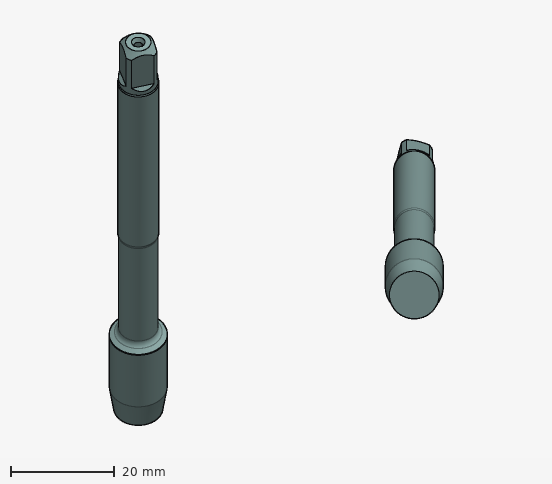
import cadquery as cq
import math


overall_length = 100.0
head_radius = 11.23 / 2
head_length = 20.0
lead_length = 5.9
lead_angle = 8.0
lead_tip_radius = head_radius - lead_length * math.tan(math.radians(lead_angle))

neck_radius = 7.7 / 2
collar_top = head_length + 0.25
flare_radius = 1.5
flare_angle = 60.0
flare_turn = math.radians(flare_angle)
shoulder_radius = neck_radius + flare_radius * (1 - math.cos(flare_turn))
shoulder_top = collar_top + (head_radius - shoulder_radius) / math.tan(flare_turn)
flare_top = shoulder_top + flare_radius * math.sin(flare_turn)

shank_radius = 8.0 / 2
shank_bottom = 48.0
shank_bottom_taper = 0.6
shank_top = 89.0
shank_top_taper = 0.3

drive_radius = 7.68 / 2
square_width = 6.2
square_length = 9.0
top_face_radius = 2.45

centre_hole_radius = 1.6 / 2
centre_hole_depth = 3.0
drill_point_angle = 120.0
countersink_radius = 1.3
countersink_angle = 60.0


def make_head():
    """Plain cylinder with a tapered lead at its lower end."""
    profile = [
        (0, 0),
        (lead_tip_radius, 0),
        (head_radius, lead_length),
        (head_radius, head_length),
        (0, head_length),
    ]
    return cq.Workplane("XZ").polyline(profile).close().revolve(360, (0, 0), (0, 1))


def flare_point(angle):
    """Point on the concave flare arc, which leaves the neck tangentially at angle zero."""
    turn = math.radians(angle)
    return (
        neck_radius + flare_radius * (1 - math.cos(turn)),
        flare_top - flare_radius * math.sin(turn),
    )


def make_round_shank():
    """Turned shape of the shank, from the collar on the head to the chamfered drive end."""
    top_chamfer = drive_radius - top_face_radius
    return (
        cq.Workplane("XZ")
        .moveTo(0, head_length)
        .lineTo(head_radius, head_length)
        .lineTo(head_radius, collar_top)
        .lineTo(shoulder_radius, shoulder_top)
        .threePointArc(flare_point(flare_angle / 2), flare_point(0))
        .lineTo(neck_radius, shank_bottom - shank_bottom_taper)
        .lineTo(shank_radius, shank_bottom)
        .lineTo(shank_radius, shank_top)
        .lineTo(drive_radius, shank_top + shank_top_taper)
        .lineTo(drive_radius, overall_length - top_chamfer)
        .lineTo(top_face_radius, overall_length)
        .lineTo(0, overall_length)
        .close()
        .revolve(360, (0, 0), (0, 1))
    )


def make_flat_cutter():
    """Tool for one flat of the square on the +X side, with a 45 degree run-out at its lower end."""
    flat_x = square_width / 2
    flat_bottom = overall_length - square_length
    reach = shank_radius - flat_x
    profile = [
        (flat_x, flat_bottom),
        (flat_x + reach, flat_bottom - reach),
        (flat_x + reach, overall_length),
        (flat_x, overall_length),
    ]
    return cq.Workplane("XZ").polyline(profile).close().extrude(shank_radius, both=True)


def make_centre_hole():
    """Countersunk hole with a conical drill point, opening in the top face."""
    countersink_slope = math.tan(math.radians(countersink_angle / 2))
    countersink_depth = (countersink_radius - centre_hole_radius) / countersink_slope
    point_depth = centre_hole_radius / math.tan(math.radians(drill_point_angle / 2))
    hole_bottom = overall_length - centre_hole_depth
    profile = [
        (0, overall_length),
        (countersink_radius, overall_length),
        (centre_hole_radius, overall_length - countersink_depth),
        (centre_hole_radius, hole_bottom),
        (0, hole_bottom - point_depth),
    ]
    return cq.Workplane("XZ").polyline(profile).close().revolve(360, (0, 0), (0, 1))


def make_shank():
    """Round shank with the square drive and the centre hole cut into its top end."""
    shank = make_round_shank()
    for quarter_turn in range(4):
        shank = shank.cut(make_flat_cutter().rotate((0, 0, 0), (0, 0, 1), 90 * quarter_turn))
    return shank.cut(make_centre_hole())


head = make_head()
shank = make_shank()

result = cq.Compound.makeCompound([head.val(), *shank.vals()])